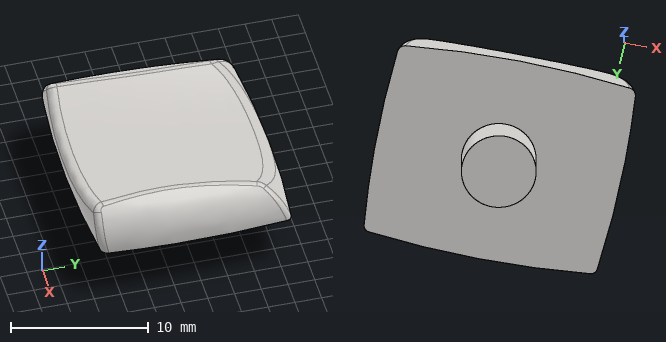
import cadquery as cq
import math

end_reach = 8.97
back_reach = 7.67
front_reach = 7.58
post_diameter = 5.41
post_depth = 3.08

bow_radius = 74.15
corner_radius = 0.55
stock_height = 3.97
stock_depth = 1.45

end_wall_tilt = 2.5

crest_height = 3.1
crest_y = -2.53
crest_radius = 38.79
crest_sweep = 60
ridge_x = 6.33
dish_depth = 0.83
dish_reach = 10.82

back_edge_radius = 1.45
front_edge_radius = 0.81

end_wall = [(-0.2, -0.9), (0.78, 1.73), (3.14, 3.25)]
back_wall = [(0, 0), (0.78, 1.37), (2.89, 2.78)]
front_wall = [(0, 0), (-0.1, 1.26), (0.32, 3.25)]


def walled_disc(section, reach, direction):
    """Large disc whose rim follows the section and bulges to `reach` in the given direction."""
    foot, middle, head = [(inset - bow_radius, height) for inset, height in section]
    run = (head[0] - middle[0]) / (head[1] - middle[1]) * (stock_height - head[1])
    disc = (
        cq.Workplane("XZ")
        .moveTo(0, -stock_depth)
        .lineTo(foot[0], -stock_depth)
        .lineTo(*foot)
        .threePointArc(middle, head)
        .lineTo(head[0] + run, stock_height)
        .lineTo(0, stock_height)
        .close()
        .revolve(360, (0, 0), (0, 1))
    )
    turn = direction - 180
    return disc.translate((bow_radius - reach, 0, 0)).rotate((0, 0, 0), (0, 0, 1), turn)


def tilted_end(direction):
    """End wall disc, leaning down towards the back about an X axis under the crest."""
    disc = walled_disc(end_wall, end_reach, direction)
    return disc.rotate((0, crest_y, 0), (1, crest_y, 0), -end_wall_tilt)


def dished_top():
    """Ring-shaped solid whose outer surface is the dished top of the cap."""
    dish_radius = (ridge_x**2 + dish_depth**2) / (2 * dish_depth)
    low = crest_height - dish_depth
    end_height = low + dish_radius - math.sqrt(dish_radius**2 - dish_reach**2)
    axis_z = crest_height - crest_radius
    return (
        cq.Workplane("XZ", origin=(0, crest_y, 0))
        .moveTo(-dish_reach, -stock_depth)
        .lineTo(-dish_reach, end_height)
        .threePointArc((0, low), (dish_reach, end_height))
        .lineTo(dish_reach, -stock_depth)
        .close()
        .revolve(crest_sweep, (0, axis_z), (1, axis_z))
        .rotate((0, crest_y, axis_z), (1, crest_y, axis_z), -crest_sweep / 2)
    )


def upper_space():
    """Block above the flat underside of the cap."""
    width = 4 * end_reach
    return cq.Workplane("XY").box(width, width, stock_height, centered=(True, True, False))


def top_rim(side):
    """Selector for the edge between the dished top and the wall on one Y side (centred near X = 0)."""
    near = (-post_diameter / 2, 0, crest_height / 3)
    far = (post_diameter / 2, side * end_reach, crest_height)
    return cq.selectors.BoxSelector(near, far)


def wall_corners(side):
    """Selector for the two edges climbing the corners of the cap at one X end."""
    near = (side * (ridge_x + end_reach) / 2, -end_reach, crest_height / 6)
    far = (side * end_reach, end_reach, crest_height * 2 / 3)
    return cq.selectors.BoxSelector(near, far)


cap = tilted_end(0).intersect(tilted_end(180))
cap = cap.intersect(walled_disc(back_wall, back_reach, 90))
cap = cap.intersect(walled_disc(front_wall, front_reach, 270))
cap = cap.intersect(dished_top()).intersect(upper_space())

cap = cap.edges(top_rim(1)).fillet(back_edge_radius)
cap = cap.edges(top_rim(-1)).fillet(front_edge_radius)
cap = cap.edges(wall_corners(-1) + wall_corners(1)).fillet(corner_radius)

post = cq.Workplane("XY").circle(post_diameter / 2).extrude(-post_depth)

result = cap.union(post)